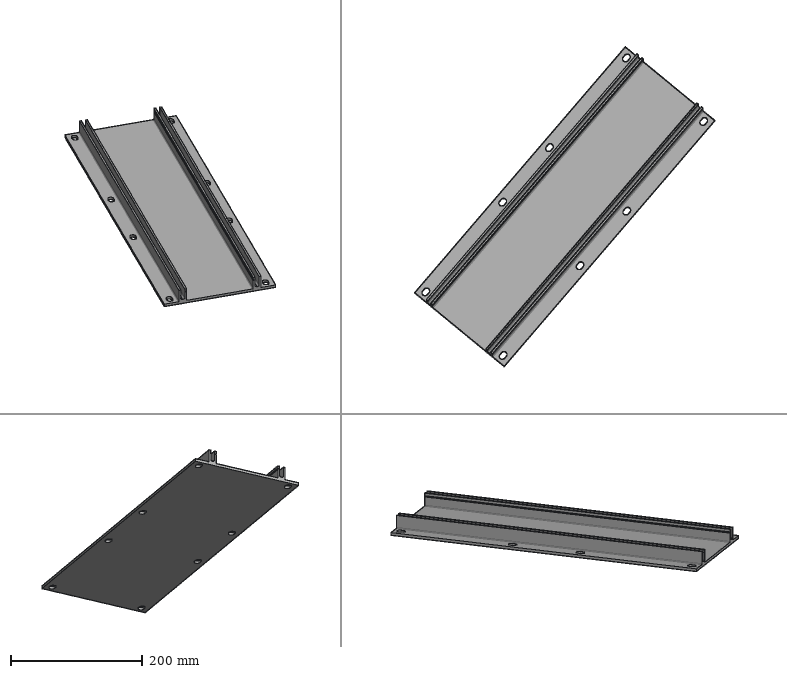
import cadquery as cq
import math

length = 500.0
width = 178.5
plate_thickness = 4.5

rail_top = 25.0
rail_center_y = 59.5
rail_width = 12.5
wall_thickness = 3.0
channel_edge_z = 8.5
channel_floor_z = 7.0
corner_radius = 1.0

groove_z = 20.0
groove_height = 2.0
groove_depth = 1.25

slot_length = 13.0
slot_width = 9.0
slot_y = 77.0
outer_slot_x = 238.0
inner_slot_x = 55.5

tolerance = 0.005


def extrude_profile(points):
    """Extrude a closed YZ outline along the full length of the part."""
    return cq.Workplane("YZ").polyline(points).close().extrude(length / 2, both=True)


def make_rail():
    """Rail on the +Y side, with an open channel and a grooved inner face."""
    inner_y = rail_center_y - rail_width / 2
    outer_y = rail_center_y + rail_width / 2
    return extrude_profile([
        (inner_y, 0),
        (outer_y, 0),
        (outer_y, rail_top),
        (outer_y - wall_thickness, rail_top),
        (outer_y - wall_thickness, channel_edge_z),
        (rail_center_y, channel_floor_z),
        (inner_y + wall_thickness, channel_edge_z),
        (inner_y + wall_thickness, rail_top),
        (inner_y, rail_top),
        (inner_y, groove_z + groove_height / 2),
        (inner_y + groove_depth, groove_z),
        (inner_y, groove_z - groove_height / 2),
    ])


def make_slot_cutters():
    """Through-slots in a row along each long edge of the plate."""
    centers = [
        (x, y)
        for x in (-outer_slot_x, -inner_slot_x, inner_slot_x, outer_slot_x)
        for y in (-slot_y, slot_y)
    ]
    return (
        cq.Workplane("XY")
        .pushPoints(centers)
        .slot2D(slot_length, slot_width)
        .extrude(plate_thickness)
    )


def on_corner_line(edge):
    """True for the rail feet and for the channel corners, all running along X."""
    center = edge.Center()
    offset = abs(abs(center.y) - rail_center_y)
    is_foot = math.isclose(offset, rail_width / 2, abs_tol=tolerance) and math.isclose(
        center.z, plate_thickness, abs_tol=tolerance
    )
    is_channel_corner = math.isclose(
        offset, rail_width / 2 - wall_thickness, abs_tol=tolerance
    ) and math.isclose(center.z, channel_edge_z, abs_tol=tolerance)
    return is_foot or is_channel_corner


plate = cq.Workplane("XY").box(length, width, plate_thickness, centered=(True, True, False))
rail = make_rail()
profile = plate.union(rail).union(rail.mirror("XZ"))
corner_edges = [edge for edge in profile.edges("|X").vals() if on_corner_line(edge)]
filleted = profile.newObject(corner_edges).fillet(corner_radius)
result = filleted.cut(make_slot_cutters())